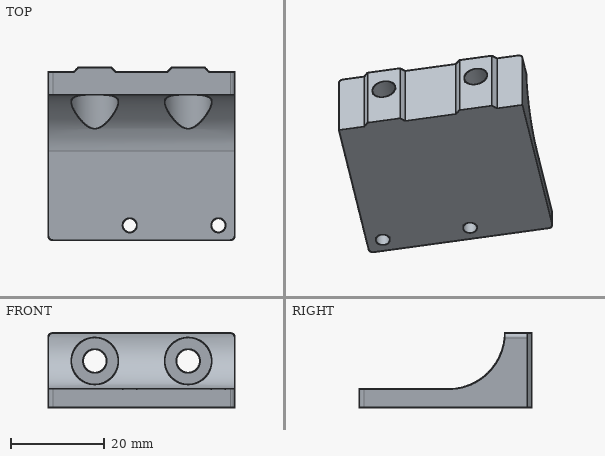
import cadquery as cq

width = 40.0
body_depth = 36.1
height = 16.0
plate_thickness = 4.0
cove_radius = height - plate_thickness
wall_thickness = 4.9
corner_radius = 1.0

rail_height = 0.95
rail_base_width = 8.95
rail_tip_width = rail_base_width - 2 * rail_height

wall_hole_xs = (width / 4, 3 * width / 4)
wall_hole_z = 10.0
wall_hole_diameter = 5.0
counterbore_diameter = 10.1

plate_hole_xs = (17.5, 36.5)
plate_hole_y = 3.2
plate_hole_diameter = 3.0

wall_front = body_depth - wall_thickness


def make_body():
    """L-shaped profile with a concave quarter-round between plate and wall."""
    diagonal = cove_radius * 0.5**0.5
    cove_middle = (wall_front - cove_radius + diagonal, height - diagonal)
    body = (
        cq.Workplane("YZ")
        .lineTo(body_depth, 0)
        .lineTo(body_depth, height)
        .lineTo(wall_front, height)
        .threePointArc(cove_middle, (wall_front - cove_radius, plate_thickness))
        .lineTo(0, plate_thickness)
        .close()
        .extrude(width)
    )
    body = body.faces("<Y").edges("|Z").fillet(corner_radius)
    return body.faces(">Z").edges("|Y").fillet(corner_radius)


def make_rail(center_x):
    """Trapezoid rail, narrower at its free face."""
    half_base = rail_base_width / 2
    half_tip = rail_tip_width / 2
    back = body_depth + rail_height
    return (
        cq.Workplane("XY")
        .polyline([
            (center_x - half_base, body_depth),
            (center_x + half_base, body_depth),
            (center_x + half_tip, back),
            (center_x - half_tip, back),
        ])
        .close()
        .extrude(height)
    )


def cylinder_along_y(center_x, diameter, y_start, y_end):
    """Cylinder at the wall hole height, running in +Y."""
    axis_start = cq.Vector(center_x, y_start, wall_hole_z)
    return cq.Solid.makeCylinder(diameter / 2, y_end - y_start, axis_start, cq.Vector(0, 1, 0))


result = make_body()

for x in wall_hole_xs:
    result = result.union(make_rail(x))

for x in wall_hole_xs:
    result = result.cut(cylinder_along_y(x, wall_hole_diameter, 0, body_depth + rail_height))
    result = result.cut(cylinder_along_y(x, counterbore_diameter, 0, wall_front))

for x in plate_hole_xs:
    plate_hole = (
        cq.Workplane("XY")
        .center(x, plate_hole_y)
        .circle(plate_hole_diameter / 2)
        .extrude(plate_thickness)
    )
    result = result.cut(plate_hole)